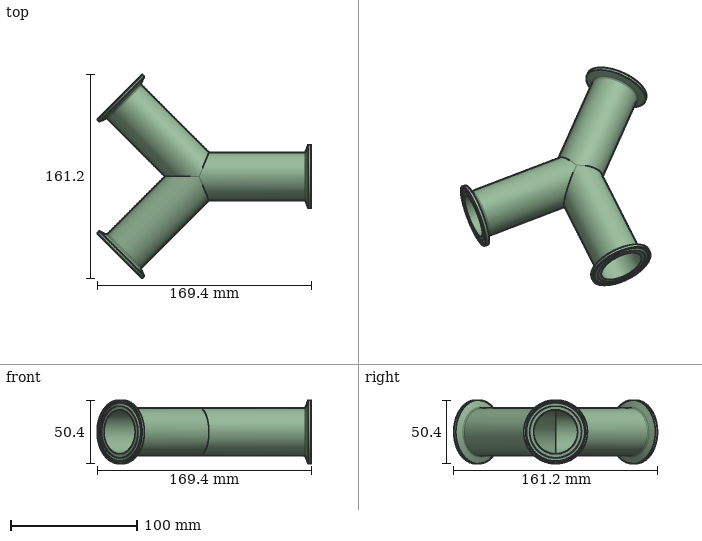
import cadquery as cq
import math

tube_diameter = 38.1
bore_diameter = 34.7
tube_radius = tube_diameter / 2
bore_radius = bore_diameter / 2
arm_length = 88.8
arm_angles = (0, 135, 225)

flange_radius = 25.2
rim_thickness = 2.5
back_taper = math.radians(20)
neck_fillet = 1.0

groove_inner_radius = 20.5
groove_outer_radius = 23.7
wall_depth = 0.7
inner_wall_flare = 0.2
outer_wall_flare = 0.7
groove_depth = 1.5


def along_arm(solid, angle):
    """Lay a solid built along +Z onto the arm direction."""
    return solid.rotate((0, 0, 0), (0, 1, 0), 90).rotate((0, 0, 0), (0, 0, 1), angle)


def tube(radius):
    """Solid round bar from the meeting point to the clamp face."""
    return cq.Workplane("XY").circle(radius).extrude(arm_length)


def flange():
    """Clamp flange with a tapered back and a filleted neck."""
    rim_back = arm_length - rim_thickness
    taper_start = rim_back - (flange_radius - tube_radius) * math.tan(back_taper)
    tangent_length = neck_fillet * math.tan((math.pi / 2 - back_taper) / 2)
    arc_center_r = tube_radius + neck_fillet
    arc_center_z = taper_start - tangent_length
    arc_end = (
        tube_radius + tangent_length * math.cos(back_taper),
        taper_start + tangent_length * math.sin(back_taper),
    )
    middle_angle = (math.pi + math.pi / 2 + back_taper) / 2
    arc_middle = (
        arc_center_r + neck_fillet * math.cos(middle_angle),
        arc_center_z + neck_fillet * math.sin(middle_angle),
    )
    return (
        cq.Workplane("XZ")
        .moveTo(0, arc_center_z)
        .lineTo(tube_radius, arc_center_z)
        .threePointArc(arc_middle, arc_end)
        .lineTo(flange_radius, rim_back)
        .lineTo(flange_radius, arm_length)
        .lineTo(0, arm_length)
        .close()
        .revolve(360, (0, 0), (0, 1))
    )


def gasket_groove():
    """Ring cutter with flared side walls and an arc-shaped bottom."""
    inner_foot_r = groove_inner_radius + inner_wall_flare
    outer_foot_r = groove_outer_radius - outer_wall_flare
    wall_foot_z = arm_length - wall_depth
    bottom = ((inner_foot_r + outer_foot_r) / 2, arm_length - groove_depth)
    return (
        cq.Workplane("XZ")
        .moveTo(groove_inner_radius, arm_length)
        .lineTo(inner_foot_r, wall_foot_z)
        .threePointArc(bottom, (outer_foot_r, wall_foot_z))
        .lineTo(groove_outer_radius, arm_length)
        .close()
        .revolve(360, (0, 0), (0, 1))
    )


def on_every_arm(feature):
    """Join one copy of a feature per arm."""
    first, *others = [along_arm(feature, angle) for angle in arm_angles]
    for other in others:
        first = first.union(other)
    return first


outside = on_every_arm(tube(tube_radius)).union(on_every_arm(flange()))
passages = on_every_arm(tube(bore_radius))

result = outside.cut(passages)
for angle in arm_angles:
    result = result.cut(along_arm(gasket_groove(), angle))